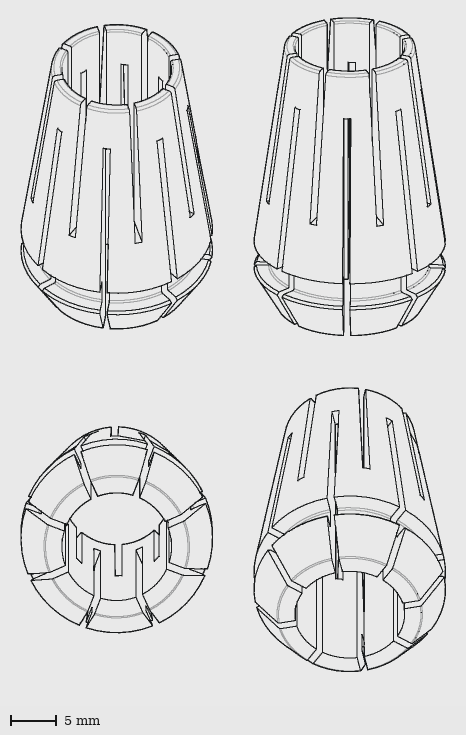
import cadquery as cq
import math

total_height = 31.5
max_radius = 10.5
bore_radius = 12.0 / 2

head_angle = 30.0
head_rim_height = 4.47
rim_chamfer = 0.28

groove_radius = 8.7
groove_top = 7.65

taper_angle = 8.0

small_fillet = 0.2
top_rim_fillet = 0.3

slot_width = 0.8
slots_per_end = 8
lower_slot_top = 26.5
upper_slot_floor = 14.02
slot_overrun = 0.3

head_bottom_radius = max_radius - head_rim_height * math.tan(math.radians(head_angle))
groove_bottom = head_rim_height + rim_chamfer
taper_height = total_height - groove_top
taper_top_radius = max_radius - taper_height * math.tan(math.radians(taper_angle))
slot_pitch = 360 / slots_per_end


def round_circle(body, radius, height, fillet_radius):
    """Fillet the circular edge of the given radius at the given height."""
    tolerance = 0.015
    reach = radius + tolerance
    enclosing_box = cq.selectors.BoxSelector(
        (-reach, -reach, height - tolerance),
        (reach, reach, height + tolerance),
        boundingbox=True,
    )
    largest_circle = cq.selectors.RadiusNthSelector(-1)
    return body.edges(enclosing_box).edges(largest_circle).fillet(fillet_radius)


def collet_body():
    """Turned body: head cone, groove and long taper around the bore."""
    body = (
        cq.Workplane("XZ")
        .moveTo(bore_radius, 0)
        .lineTo(head_bottom_radius, 0)
        .lineTo(max_radius, head_rim_height)
        .lineTo(max_radius - rim_chamfer, groove_bottom)
        .lineTo(groove_radius, groove_bottom)
        .lineTo(groove_radius, groove_top)
        .lineTo(max_radius, groove_top)
        .lineTo(taper_top_radius, total_height)
        .lineTo(bore_radius, total_height)
        .close()
        .revolve(360, (0, 0, 0), (0, 1, 0))
    )
    body = round_circle(body, head_bottom_radius, 0, small_fillet)
    body = round_circle(body, groove_radius, groove_bottom, small_fillet)
    body = round_circle(body, groove_radius, groove_top, small_fillet)
    body = round_circle(body, taper_top_radius, total_height, top_rim_fillet)
    return round_circle(body, bore_radius, total_height, small_fillet)


def saw_slots(bottom, top, first_angle):
    """Ring of slots; each full-diameter blade cuts two opposite slots."""
    length = 2 * (max_radius + slot_overrun)
    blade = cq.Workplane("XY").workplane(offset=bottom).rect(length, slot_width).extrude(top - bottom)
    slots = cq.Workplane("XY")
    for index in range(slots_per_end // 2):
        angle = first_angle + index * slot_pitch
        slots = slots.add(blade.rotate((0, 0, 0), (0, 0, 1), angle))
    return slots.combine()


lower_slots = saw_slots(-slot_overrun, lower_slot_top, 0)
upper_slots = saw_slots(upper_slot_floor, total_height + slot_overrun, slot_pitch / 2)

result = collet_body().cut(lower_slots).cut(upper_slots)